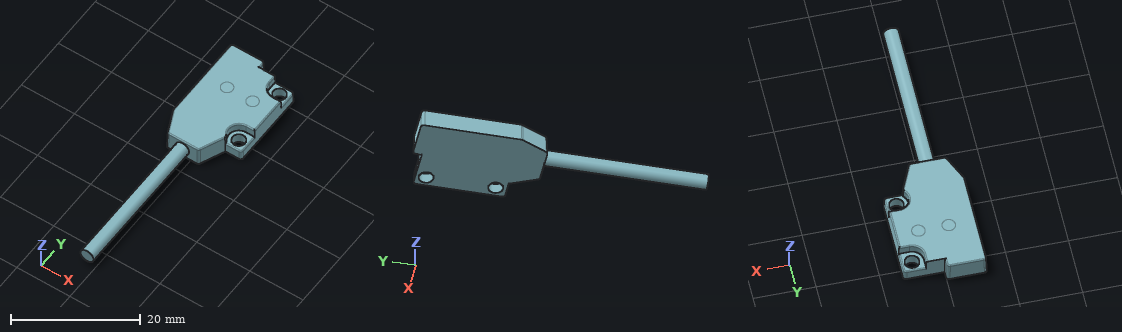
import cadquery as cq
import math

width = 13.01
housing_length = 20.43
height = 3.5
step_x = 6.5
step_depth = 1.45
shoulder_y = -15.95
neck_x = 10.0
neck_front_left = 2.0
neck_front_right = 8.0
draft_angle = 2.0
corner_radius = 0.5
rim_radius = 0.2

hole_x = 11.27
hole_pitch = 11.0
back_hole_y = -3.15
front_hole_y = back_hole_y - hole_pitch
hole_diameter = 2.3
shelf_height = 1.95
recess_radius = 1.82

window_diameter = 2.1
window_y = -7.65
window_xs = (4.48, 9.29)
window_depth = 0.5

overall_length = 46.24
cable_diameter = 2.5
cable_x = 4.97
cable_z = height / 2

wall_lean = height * math.tan(math.radians(draft_angle))
tolerance = 0.01

outer_corners = [
    (0, 0),
    (step_x, 0),
    (width, -step_depth),
    (width, shoulder_y),
    (neck_front_right, -housing_length),
    (neck_front_left, -housing_length),
    (0, shoulder_y),
]


def drafted_prism(outline, prism_height):
    """Prism whose walls lean inward toward the top, with its corners kept sharp."""
    lean = prism_height * math.tan(math.radians(draft_angle))
    base = outline.wire().val()
    top = base.offset2D(-lean, "intersection")[0].translate(cq.Vector(0, 0, prism_height))
    return cq.Workplane(cq.Solid.makeLoft([base, top], True))


def round_uprights(prism):
    """Round the upright edges that stand on the outer corners."""

    def on_outer_corner(edge):
        foot = min((edge.startPoint(), edge.endPoint()), key=lambda point: point.z)
        upright = edge.BoundingBox().zlen > shelf_height / 2
        return upright and any(
            math.hypot(foot.x - x, foot.y - y) < tolerance for x, y in outer_corners
        )

    uprights = [edge for edge in prism.edges().vals() if on_outer_corner(edge)]
    return prism.newObject(uprights).fillet(corner_radius)


def make_main_block():
    """Full-height block, notched around both mounting holes."""
    back_notch_y = back_hole_y - recess_radius
    front_notch_y = front_hole_y + recess_radius
    notch_x = hole_x - recess_radius
    diagonal = recess_radius * math.sqrt(0.5)
    neck_meet_y = front_hole_y - math.sqrt(recess_radius**2 - (hole_x - neck_x) ** 2)

    outline = (
        cq.Workplane("XY")
        .moveTo(0, 0)
        .lineTo(step_x, 0)
        .lineTo(step_x, -step_depth)
        .lineTo(notch_x, -step_depth)
        .lineTo(notch_x, back_hole_y)
        .threePointArc((hole_x - diagonal, back_hole_y - diagonal), (hole_x, back_notch_y))
        .lineTo(width, back_notch_y)
        .lineTo(width, front_notch_y)
        .lineTo(hole_x, front_notch_y)
        .threePointArc((hole_x - diagonal, front_hole_y + diagonal), (neck_x, neck_meet_y))
        .lineTo(neck_x, shoulder_y)
        .lineTo(neck_front_right, -housing_length)
        .lineTo(neck_front_left, -housing_length)
        .lineTo(0, shoulder_y)
        .close()
    )
    block = round_uprights(drafted_prism(outline, height))

    step_edge_y = -step_depth - wall_lean

    def on_step_edge(edge):
        box = edge.BoundingBox()
        return box.ylen < tolerance and abs(box.ymax - step_edge_y) < tolerance

    rim = [edge for edge in block.faces(">Z").edges().vals() if not on_step_edge(edge)]
    return block.newObject(rim).fillet(rim_radius)


def make_ears():
    """Low slab that fills the notches up to the shelf height and carries the holes."""
    slab_left = step_x + corner_radius
    outline = (
        cq.Workplane("XY")
        .polyline([
            (slab_left, -step_depth),
            (width, -step_depth),
            (width, shoulder_y),
            (slab_left, shoulder_y),
        ])
        .close()
    )
    slab = round_uprights(drafted_prism(outline, shelf_height))
    return slab.faces(">Z").edges().fillet(rim_radius)


def drill_holes(body):
    """Drill the two mounting holes through the ears."""
    holes = (
        cq.Workplane("XY")
        .pushPoints([(hole_x, back_hole_y), (hole_x, front_hole_y)])
        .circle(hole_diameter / 2)
        .extrude(height)
    )
    return body.cut(holes)


def set_windows(body):
    """Set flush round windows into the top; their outlines stay as face boundaries."""
    windows = (
        cq.Workplane("XY", origin=(0, 0, height - window_depth))
        .pushPoints([(x, window_y) for x in window_xs])
        .circle(window_diameter / 2)
        .extrude(window_depth)
    )
    return body.cut(windows).union(windows, clean=False)


def make_cable():
    """Round cable running forward from the housing, rooted behind the leaning front wall."""
    root_y = -housing_length + wall_lean
    return (
        cq.Workplane("XZ", origin=(cable_x, root_y, cable_z))
        .circle(cable_diameter / 2)
        .extrude(overall_length + root_y)
    )


housing = drill_holes(make_main_block().union(make_ears()))
result = set_windows(housing.union(make_cable()))